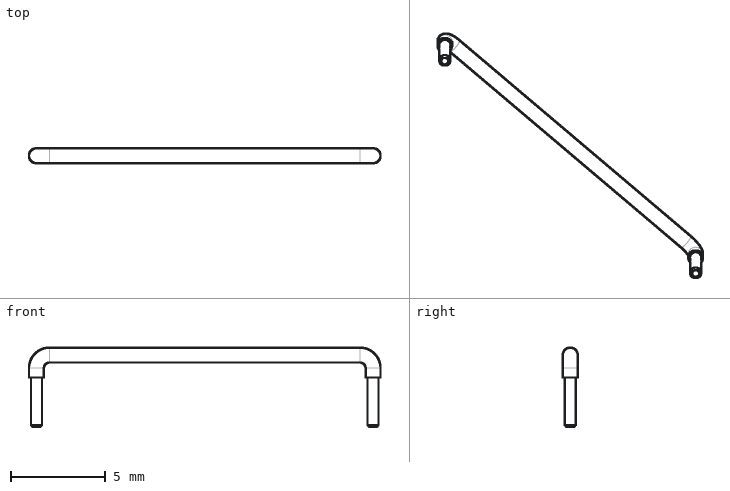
import cadquery as cq

length = 18.58
height = 4.2
jacket_diameter = 0.8
pin_diameter = 0.6

bend_outer_radius = 1.1
straight_end = 0.5
tip_chamfer = 0.11

jacket_radius = jacket_diameter / 2
bend_radius = bend_outer_radius - jacket_radius
leg_x = length / 2 - jacket_radius
top_axis_z = height - jacket_radius
bend_start_z = top_axis_z - bend_radius
jacket_end_z = bend_start_z - straight_end


def make_jacket():
    """Round bar bent down at both ends, swept along its centre line."""
    run_end_x = leg_x - bend_radius
    centre_line = (
        cq.Workplane("XZ")
        .moveTo(-leg_x, jacket_end_z)
        .lineTo(-leg_x, bend_start_z)
        .radiusArc((-run_end_x, top_axis_z), bend_radius)
        .lineTo(run_end_x, top_axis_z)
        .radiusArc((leg_x, bend_start_z), bend_radius)
        .lineTo(leg_x, jacket_end_z)
    )
    return (
        cq.Workplane("XY", origin=(-leg_x, 0, jacket_end_z))
        .circle(jacket_radius)
        .sweep(centre_line)
    )


def make_pin(x):
    """Straight round pin with a chamfered tip, butting against the jacket's end face."""
    return (
        cq.Workplane("XY", origin=(x, 0, 0))
        .circle(pin_diameter / 2)
        .extrude(jacket_end_z)
        .faces("<Z")
        .chamfer(tip_chamfer)
    )


jacket = make_jacket()
pins = [make_pin(x) for x in (-leg_x, leg_x)]

result = cq.Compound.makeCompound([jacket.val(), *[pin.val() for pin in pins]])